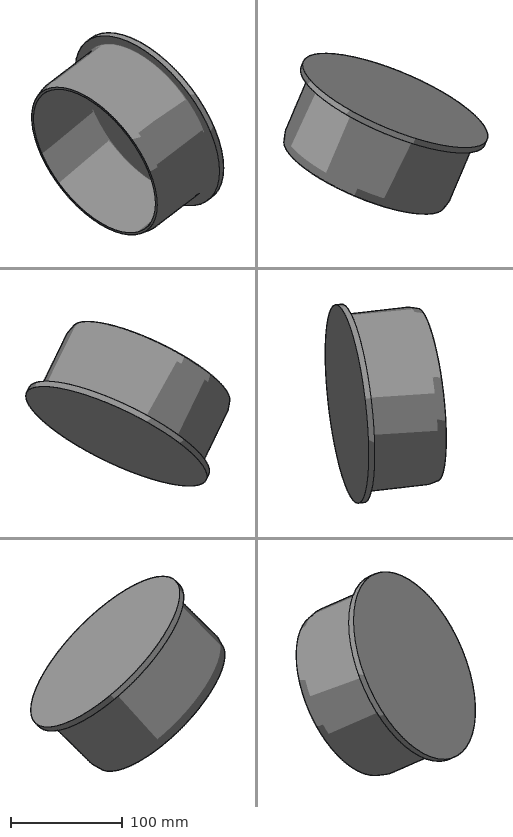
import cadquery as cq

flange_diameter = 179.0
flange_thickness = 5.5
total_depth = 74.0
sleeve_diameter = 160.0
bore_diameter = 151.0
floor_thickness = flange_thickness
taper_length = 8.2
taper_inset = 2.1
root_fillet = 1.0

flange_radius = flange_diameter / 2
sleeve_radius = sleeve_diameter / 2
bore_radius = bore_diameter / 2
rim_radius = sleeve_radius - taper_inset
flange_front = -flange_thickness
floor_front = -floor_thickness
rim_front = -total_depth
taper_start = rim_front + taper_length


def make_cap():
    """Revolve the half section of the flanged cup around the Y axis."""
    half_section = (
        cq.Workplane("XY")
        .moveTo(0, 0)
        .lineTo(flange_radius, 0)
        .lineTo(flange_radius, flange_front)
        .lineTo(sleeve_radius + root_fillet, flange_front)
        .radiusArc((sleeve_radius, flange_front - root_fillet), -root_fillet)
        .lineTo(sleeve_radius, taper_start)
        .lineTo(rim_radius, rim_front)
        .lineTo(bore_radius, rim_front)
        .lineTo(bore_radius, floor_front - root_fillet)
        .radiusArc((bore_radius - root_fillet, floor_front), -root_fillet)
        .lineTo(0, floor_front)
        .close()
    )
    return half_section.revolve(360, (0, 0, 0), (0, 1, 0))


result = make_cap()